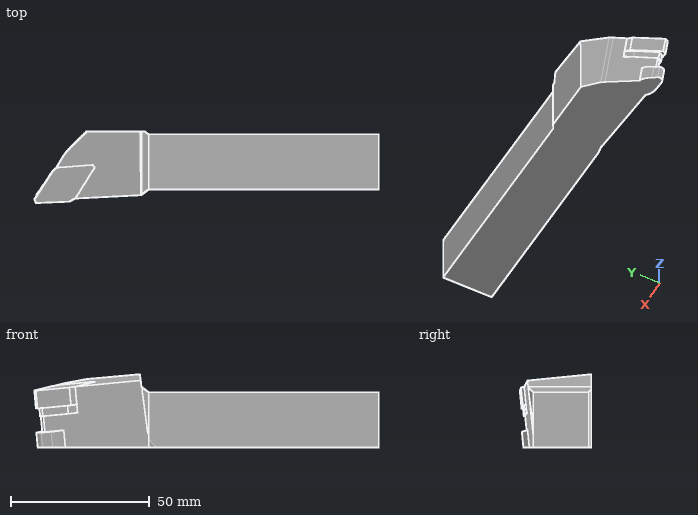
import cadquery as cq

TOTAL_LENGTH = 124.3
HEAD_BACK_Y = 25.9
TOTAL_HEIGHT = 26.5

SHANK_SIZE = 20.0
SHANK_START_X = 41.3
SHANK_FRONT_Y = 4.8
SHANK_BACK_Y = SHANK_FRONT_Y + SHANK_SIZE

SLOPE_X = 0.09
SLOPE_Y = 0.1
HEAD_TOP_END_X = 38.2
HEAD_BASE_END_X = 41.6
HEAD_SIDE_X = 38.9
HEAD_SIDE_Y = 2.9
NOSE_SIDE_X = 2.5
NOSE_SIDE_Y = 1.0

FLARE_SLOPE = 0.75
FLARE_LENGTH = 5

RUNOUT_LENGTH = 2.7
RUNOUT_HEIGHT = 3.1

INSERT_THICKNESS = 6.5
POCKET_DEPTH = 9.5
TOE_DEPTH = 15.2
FULL_DEPTH = 29.8
CLEARANCE = 6.2


def top_height(x, y):
    """Height of the sloping top plane above a plan position."""
    return TOTAL_HEIGHT + SLOPE_X * (x - HEAD_TOP_END_X) + SLOPE_Y * (y - HEAD_BACK_Y)


def sunk(point, depth):
    """A plan point on the top plane, carried down square to that plane."""
    x, y = point
    return cq.Vector(x + SLOPE_X * depth, y + SLOPE_Y * depth, top_height(x, y) - depth)


def sweep_down(wire, height):
    direction = cq.Vector(SLOPE_X, SLOPE_Y, -1) * height
    return cq.Workplane(cq.Solid.extrudeLinear(wire, [], direction))


def leaning_prism(outline, start, end):
    """Prism square to the sloping top, between two depths below it."""
    wire = cq.Wire.makePolygon([sunk(point, start) for point in outline], close=True)
    return sweep_down(wire, end - start)


def head_side_y(x):
    """Front edge of the head along the top plane."""
    slope = (HEAD_SIDE_Y - NOSE_SIDE_Y) / (HEAD_SIDE_X - NOSE_SIDE_X)
    return NOSE_SIDE_Y + slope * (x - NOSE_SIDE_X)


def make_head_envelope():
    """Leaning walls of the head, run on past its back end."""
    far_x = SHANK_START_X + CLEARANCE
    back_y = HEAD_BACK_Y + CLEARANCE
    corner, facet = (19.1, HEAD_BACK_Y), (11.4, 18.4)
    corner_slope = (corner[0] - facet[0]) / (corner[1] - facet[1])
    outline = [
        (NOSE_SIDE_X, NOSE_SIDE_Y),
        (far_x, head_side_y(far_x)),
        (far_x, back_y),
        (corner[0] + corner_slope * CLEARANCE, back_y),
        facet,
        (10.6, 17.2),
        (1.5, 2.4),
    ]
    envelope = leaning_prism(outline, 0, FULL_DEPTH)
    limits = cq.Workplane().box(TOTAL_LENGTH, HEAD_BACK_Y + CLEARANCE, TOTAL_HEIGHT, centered=False)
    return envelope.intersect(limits.translate((-CLEARANCE, -CLEARANCE, 0)))


def make_head(envelope):
    """Head cut off by its sloping back face, which ends at the shank start."""
    profile = [
        (-CLEARANCE, 0),
        (HEAD_BASE_END_X, 0),
        (HEAD_TOP_END_X, TOTAL_HEIGHT),
        (-CLEARANCE, TOTAL_HEIGHT),
    ]
    limits = cq.Workplane("XZ").polyline(profile).close().extrude(-HEAD_BACK_Y)
    bevel_x = SHANK_START_X - (HEAD_BACK_Y - SHANK_BACK_Y) / FLARE_SLOPE
    plan = [
        (-CLEARANCE, -CLEARANCE),
        (SHANK_START_X, -CLEARANCE),
        (SHANK_START_X, SHANK_BACK_Y),
        (bevel_x, HEAD_BACK_Y),
        (-CLEARANCE, HEAD_BACK_Y),
    ]
    return envelope.intersect(limits).intersect(cq.Workplane().polyline(plan).close().extrude(TOTAL_HEIGHT))


def make_flare(envelope):
    """Collar widening from the shank to the head; its front side twists upright at the base."""
    spread = FLARE_SLOPE * FLARE_LENGTH

    def section(x, grow):
        front, back, top = SHANK_FRONT_Y - grow, SHANK_BACK_Y + grow, SHANK_SIZE + grow
        corners = [(x, SHANK_FRONT_Y, 0), (x, back, 0), (x, back, top), (x, front, top)]
        return cq.Wire.makePolygon([cq.Vector(*corner) for corner in corners], close=True)

    sections = [section(SHANK_START_X - FLARE_LENGTH, spread), section(SHANK_START_X, 0)]
    flare = cq.Workplane(cq.Solid.makeLoft(sections, True))
    return flare.intersect(envelope)


def make_runout():
    """Shallow three-sided cut at the foot of the shank, meeting the head side."""
    base_depth = top_height(SHANK_START_X, head_side_y(SHANK_START_X))
    side_y = head_side_y(SHANK_START_X - SLOPE_X * base_depth) + SLOPE_Y * base_depth
    x, y = SHANK_START_X, SHANK_FRONT_Y
    peak = cq.Vector(x, y, RUNOUT_HEIGHT)
    end = cq.Vector(x + RUNOUT_LENGTH, y, 0)
    outer = cq.Vector(x, y, 0)
    inner = cq.Vector(x, side_y, 0)
    triangles = [(peak, end, outer), (peak, end, inner), (peak, outer, inner), (end, outer, inner)]
    faces = [cq.Face.makeFromWires(cq.Wire.makePolygon(t, close=True)) for t in triangles]
    return cq.Workplane(cq.Solid.makeSolid(cq.Shell.makeShell(faces)))


def make_shank():
    length = TOTAL_LENGTH - SHANK_START_X
    shank = cq.Workplane().box(length, SHANK_SIZE, SHANK_SIZE, centered=False)
    return shank.translate((SHANK_START_X, SHANK_FRONT_Y, 0)).cut(make_runout())


WALL_LEFT = (8.2, 12.8)
WALL_CORNER = (21.1, 13.8)
WALL_CORNER_END = (21.9, 12.9)
WALL_FRONT = (14.8, 1.6)


def make_pocket():
    """Seat open to the front and to the left."""
    outline = [
        (WALL_LEFT[0] - CLEARANCE, WALL_LEFT[1]),
        WALL_LEFT,
        WALL_CORNER,
        WALL_CORNER_END,
        WALL_FRONT,
        (WALL_FRONT[0], -CLEARANCE),
        (-CLEARANCE, -CLEARANCE),
    ]
    return leaning_prism(outline, 0, POCKET_DEPTH)


def make_seat():
    """Raised diamond on the pocket floor that carries the insert."""
    outline = [
        (1.2, 2.1),
        (2.2, 0.5),
        (11.4, 1.0),
        (15.9, 3.2),
        WALL_CORNER_END,
        WALL_CORNER,
        (8.5, 12.8),
        (6.1, 10.0),
    ]
    return leaning_prism(outline, INSERT_THICKNESS, POCKET_DEPTH)


def make_toe():
    """Foot with a rounded nose and hollow flanks, standing out below the head."""
    nose_left, nose_middle, nose_right = (-0.4, 1.9), (-0.4, 0.1), (1.1, -0.7)
    flank_front, flank_front_middle, flank_front_end = (4.7, -0.6), (7.3, 0), (9.3, 1.4)
    flank_left_end, flank_left_middle, flank_left = (3.9, 6.7), (2.4, 5.6), (0.9, 3.5)

    def line(start, end):
        return cq.Edge.makeLine(sunk(start, TOE_DEPTH), sunk(end, TOE_DEPTH))

    def arc(start, middle, end):
        return cq.Edge.makeThreePointArc(*[sunk(point, TOE_DEPTH) for point in (start, middle, end)])

    outline = [
        arc(nose_left, nose_middle, nose_right),
        line(nose_right, flank_front),
        arc(flank_front, flank_front_middle, flank_front_end),
        line(flank_front_end, flank_left_end),
        arc(flank_left_end, flank_left_middle, flank_left),
        line(flank_left, nose_left),
    ]
    toe = sweep_down(cq.Wire.assembleEdges(outline), FULL_DEPTH - TOE_DEPTH)
    above_base = cq.Workplane().box(TOTAL_LENGTH, TOTAL_LENGTH, TOTAL_HEIGHT, centered=(True, True, False))
    return toe.intersect(above_base)


def make_holder():
    envelope = make_head_envelope()
    body = make_head(envelope).union(make_flare(envelope)).union(make_shank())
    return body.cut(make_pocket()).union(make_seat()).union(make_toe())


def make_insert():
    """Diamond cutting insert with cut-off blunt corners."""
    outline = [
        (0, 1.4),
        (0.6, 0),
        (12.7, 0.5),
        WALL_FRONT,
        WALL_CORNER_END,
        WALL_CORNER,
        WALL_LEFT,
        (6.5, 11.4),
    ]
    return leaning_prism(outline, 0, INSERT_THICKNESS)


holder = make_holder()
insert = make_insert()
result = cq.Compound.makeCompound([holder.val(), insert.val()])